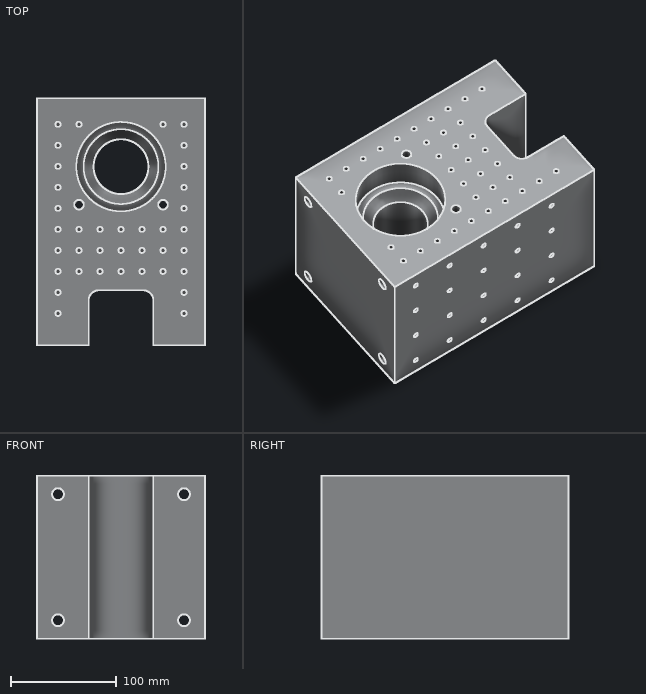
import cadquery as cq

width = 160.0
length = 235.0
height = 155.0
top_z = height / 2
back_y = length / 2
left_x = -width / 2

slot_width = 61.3
slot_depth = 52.2
slot_corner_radius = 9.5

bore_from_back = 65.0
counterbore_diameter = 85.0
counterbore_depth = 30.0
seat_sphere_diameter = 90.0
seat_centre_depth = 2.5
bore_diameter = 52.0
bore_y = back_y - bore_from_back

grid_pitch = 20.0
grid_hole_diameter = 5.0
grid_hole_depth = 11.8
grid_columns = 7
grid_rows = 10
first_row_from_back = 25.0
full_rows = (5, 6, 7)
first_row_y = back_y - first_row_from_back
edge_column_x = grid_pitch * (grid_columns - 1) / 2

side_pitch = 2 * grid_pitch
side_columns = 5
side_rows = 4

cross_hole_diameter = 11.0
outer_row_z = side_pitch * (side_rows - 1) / 2
vertical_hole_diameter = 9.0
vertical_hole_x = edge_column_x - grid_pitch
vertical_hole_from_back = 101.3
vertical_hole_y = back_y - vertical_hole_from_back


def z_cylinder(x, y, diameter, depth):
    """Cylinder that reaches down from the top face."""
    return (
        cq.Workplane("XY", origin=(0, 0, top_z))
        .pushPoints([(x, y)])
        .circle(diameter / 2)
        .extrude(-depth)
    )


def slot():
    """Slot with rounded inner corners, open to the front face."""
    return (
        cq.Workplane("XY")
        .box(slot_width, slot_depth, height)
        .edges("|Z and >Y")
        .fillet(slot_corner_radius)
        .translate((0, slot_depth / 2 - back_y, 0))
    )


def stepped_bore():
    """Counterbore, spherical seat below its floor, and a through bore."""
    sphere = cq.Workplane("XY").sphere(seat_sphere_diameter / 2)
    sphere = sphere.translate((0, bore_y, top_z - seat_centre_depth))
    counterbore = z_cylinder(0, bore_y, counterbore_diameter, counterbore_depth)
    through = z_cylinder(0, bore_y, bore_diameter, height)
    below_floor = (
        cq.Workplane("XY", origin=(0, bore_y, top_z - counterbore_depth))
        .rect(seat_sphere_diameter, seat_sphere_diameter)
        .extrude(-seat_sphere_diameter)
    )
    return counterbore, sphere.intersect(below_floor), through


def top_grid_points():
    """Two edge columns, full rows ahead of the bore, and two extra holes in the back row."""
    points = []
    for row in range(grid_rows):
        for column in range(grid_columns):
            x = column * grid_pitch - edge_column_x
            on_edge = column in (0, grid_columns - 1)
            beside_edge = column in (1, grid_columns - 2)
            if on_edge or row in full_rows or (row == 0 and beside_edge):
                points.append((x, first_row_y - row * grid_pitch))
    return points


def side_grid_points():
    return [
        (first_row_y - column * side_pitch, row * side_pitch - outer_row_z)
        for column in range(side_columns)
        for row in range(side_rows)
    ]


def top_grid_holes():
    return (
        cq.Workplane("XY", origin=(0, 0, top_z))
        .pushPoints(top_grid_points())
        .circle(grid_hole_diameter / 2)
        .extrude(-grid_hole_depth)
    )


def side_grid_holes():
    return (
        cq.Workplane("YZ", origin=(left_x, 0, 0))
        .pushPoints(side_grid_points())
        .circle(grid_hole_diameter / 2)
        .extrude(grid_hole_depth)
    )


def cross_holes():
    """Four holes along Y from the front face to the back face."""
    return (
        cq.Workplane("XZ", origin=(0, -back_y, 0))
        .rect(2 * edge_column_x, 2 * outer_row_z, forConstruction=True)
        .vertices()
        .circle(cross_hole_diameter / 2)
        .extrude(-length)
    )


block = cq.Workplane("XY").box(width, length, height)
block = block.cut(slot())
for cutter in stepped_bore():
    block = block.cut(cutter)
for side in (-1, 1):
    block = block.cut(z_cylinder(side * vertical_hole_x, vertical_hole_y, vertical_hole_diameter, height))
block = block.cut(top_grid_holes())
block = block.cut(side_grid_holes())
block = block.cut(cross_holes())

result = block